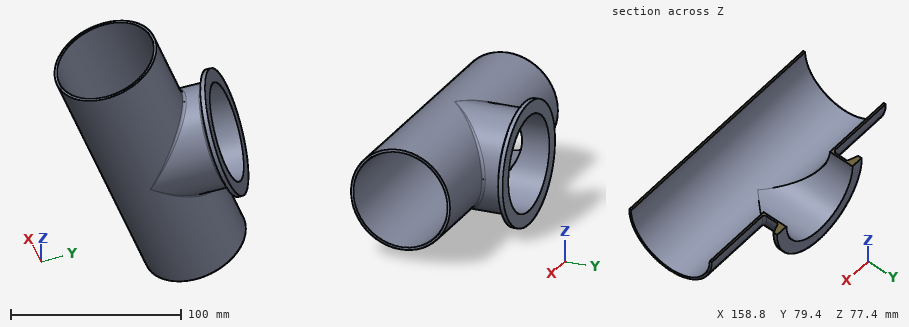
import cadquery as cq
import math

TUBE_DIAMETER = 63.5
BORE_DIAMETER = 60.2
RUN_LENGTH = 158.75
BRANCH_REACH = 47.625

FLANGE_DIAMETER = 77.39
RIM_THICKNESS = 2.9
FLANGE_TAPER = 20.0
NECK_FILLET = 1.1

TUBE_RADIUS = TUBE_DIAMETER / 2
BORE_RADIUS = BORE_DIAMETER / 2
WALL = TUBE_RADIUS - BORE_RADIUS
CROTCH_FILLET = WALL


def run_cylinder(radius):
    """Full-length cylinder on the X axis."""
    return cq.Workplane("YZ").circle(radius).extrude(RUN_LENGTH / 2, both=True)


def branch_cylinder(radius):
    """Cylinder on the Y axis, from the run axis to the ferrule face."""
    return cq.Workplane("XZ").circle(radius).extrude(-BRANCH_REACH)


def tee_outside():
    """Run and branch joined, with the two crotches rounded."""
    joined = run_cylinder(TUBE_RADIUS).union(branch_cylinder(TUBE_RADIUS))
    return joined.edges("%ELLIPSE").fillet(CROTCH_FILLET)


def ferrule_flange():
    """Clamp flange: a flat rim, a tapered back and a fillet into the branch tube."""
    flange_radius = FLANGE_DIAMETER / 2
    taper = math.radians(FLANGE_TAPER)
    rim_back = BRANCH_REACH - RIM_THICKNESS
    taper_end = rim_back - (flange_radius - TUBE_RADIUS) * math.tan(taper)

    middle_angle = (math.pi / 2 - taper) / 2
    tangent_length = NECK_FILLET * math.tan(middle_angle)
    fillet_start = (
        TUBE_RADIUS + tangent_length * math.cos(taper),
        taper_end + tangent_length * math.sin(taper),
    )
    fillet_end = (TUBE_RADIUS, taper_end - tangent_length)
    fillet_middle = (
        TUBE_RADIUS + NECK_FILLET * (1 - math.cos(middle_angle)),
        fillet_end[1] + NECK_FILLET * math.sin(middle_angle),
    )
    profile = (
        cq.Workplane("XY")
        .moveTo(0, BRANCH_REACH)
        .lineTo(flange_radius, BRANCH_REACH)
        .lineTo(flange_radius, rim_back)
        .lineTo(*fillet_start)
        .threePointArc(fillet_middle, fillet_end)
        .lineTo(0, fillet_end[1])
        .close()
    )
    return profile.revolve(360, (0, 0, 0), (0, 1, 0))


outside = tee_outside().union(ferrule_flange())
result = outside.cut(run_cylinder(BORE_RADIUS)).cut(branch_cylinder(BORE_RADIUS)).solids()